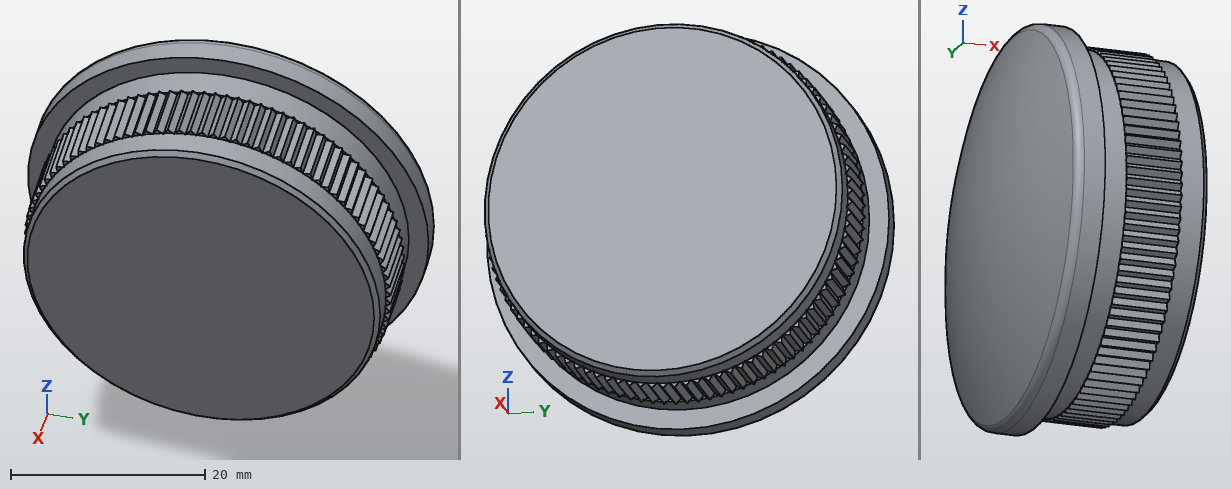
import cadquery as cq
import math

length = 19.0
dome_height = 3.75
flange_back = 7.0
knurl_start = 10.0
knurl_end = 16.0

flange_radius = 21.2
neck_radius = 19.12
spigot_radius = 18.85
knurl_tip_radius = 19.38
knurl_root_radius = 18.8

flange_round = 0.98
dome_edge_radius = 20.52
spigot_chamfer = 0.5

tooth_count = 100


def disc(radius, start, end):
    """Plain cylinder on the X axis between two stations."""
    return cq.Workplane("YZ").workplane(offset=start).circle(radius).extrude(end - start)


def domed_flange():
    """Spherical cap blended by a small arc into the flange rim."""
    sphere_radius = (dome_edge_radius**2 + dome_height**2) / (2 * dome_height)
    half_angle = math.asin(dome_edge_radius / sphere_radius) / 2
    dome_middle = (
        sphere_radius * (1 - math.cos(half_angle)),
        sphere_radius * math.sin(half_angle),
    )
    return (
        cq.Workplane("XY")
        .moveTo(0, 0)
        .threePointArc(dome_middle, (dome_height, dome_edge_radius))
        .tangentArcPoint((dome_height + flange_round, flange_radius), relative=False)
        .lineTo(flange_back, flange_radius)
        .lineTo(flange_back, 0)
        .close()
        .revolve(360, (0, 0, 0), (1, 0, 0))
    )


def knurl_ring():
    """Ring of straight V-shaped teeth with a root on the -Y axis."""
    half_pitch = math.pi / tooth_count
    points = []
    for i in range(2 * tooth_count):
        radius = knurl_root_radius if i % 2 == 0 else knurl_tip_radius
        angle = math.pi + i * half_pitch
        points.append((radius * math.cos(angle), radius * math.sin(angle)))
    outline = cq.Workplane("YZ").workplane(offset=knurl_start).polyline(points).close()
    return outline.extrude(knurl_end - knurl_start)


neck = disc(neck_radius, flange_back, knurl_start)
spigot = disc(spigot_radius, knurl_end, length).faces(">X").chamfer(spigot_chamfer)

result = domed_flange().union(neck).union(knurl_ring()).union(spigot)